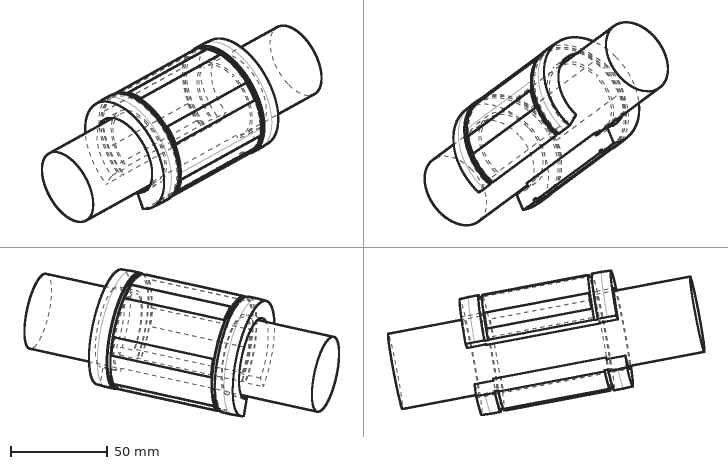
import cadquery as cq
import math

shaft_diameter = 40.0
shaft_length = 160.0

bearing_length = 80.0
bearing_radius = 30.96
end_face_radius = 30.7
collar_length = 10.0
taper_length = 4.8
groove_width = 2.0
groove_radius = 29.6
body_radius = 30.5

bore_radius = 21.5
bore_depth = collar_length

opening_depth = 27.44
opening_half_angle = math.acos(opening_depth / bearing_radius)

plate_radius = 30.7
plate_end_gap = 0.5
plate_angle = 19.0
plate_pitch = 60.0
first_plate_angle = -131.3
plate_count = 5


def cylinder(radius, length, start=None):
    """Cylinder along Y, centred on the origin unless its lower Y end is given."""
    low_end = -length / 2 if start is None else start
    return cq.Workplane("XZ", origin=(0, low_end, 0)).circle(radius).extrude(-length)


def make_sleeve():
    """Turned sleeve with tapered collars and a groove beside each collar."""
    half_length = bearing_length / 2
    taper_start = half_length - taper_length
    groove_outer = half_length - collar_length
    groove_inner = groove_outer - groove_width
    upper_profile = [
        (body_radius, groove_inner),
        (groove_radius, groove_inner),
        (groove_radius, groove_outer),
        (bearing_radius, groove_outer),
        (bearing_radius, taper_start),
        (end_face_radius, half_length),
        (0, half_length),
    ]
    lower_profile = [(radius, -y) for radius, y in reversed(upper_profile)]
    profile = cq.Workplane("XY").polyline(upper_profile + lower_profile).close()
    return profile.revolve(360, (0, 0, 0), (0, 1, 0))


def sector(center_angle, half_angle, length):
    """Triangular prism along Y; angles in radians from +Z towards +X."""
    reach = 2 * bearing_radius
    corners = [(0, 0)]
    for angle in (center_angle - half_angle, center_angle + half_angle):
        corners.append((reach * math.sin(angle), reach * math.cos(angle)))
    return cq.Workplane("XZ").polyline(corners).close().extrude(length / 2, both=True)


def make_plate(angle):
    """Curved plate standing slightly proud of the sleeve body."""
    plate_length = bearing_length - 2 * (collar_length + groove_width + plate_end_gap)
    ring = cylinder(plate_radius, plate_length).cut(cylinder(groove_radius, plate_length))
    return ring.intersect(sector(math.radians(angle), math.radians(plate_angle / 2), plate_length))


sleeve = make_sleeve()
for index in range(plate_count):
    sleeve = sleeve.union(make_plate(first_plate_angle + index * plate_pitch))

sleeve = sleeve.cut(sector(math.pi, opening_half_angle, bearing_length))

for recess_start in (-bearing_length / 2, bearing_length / 2 - bore_depth):
    sleeve = sleeve.cut(cylinder(bore_radius, bore_depth, recess_start))

result = sleeve.union(cylinder(shaft_diameter / 2, shaft_length))